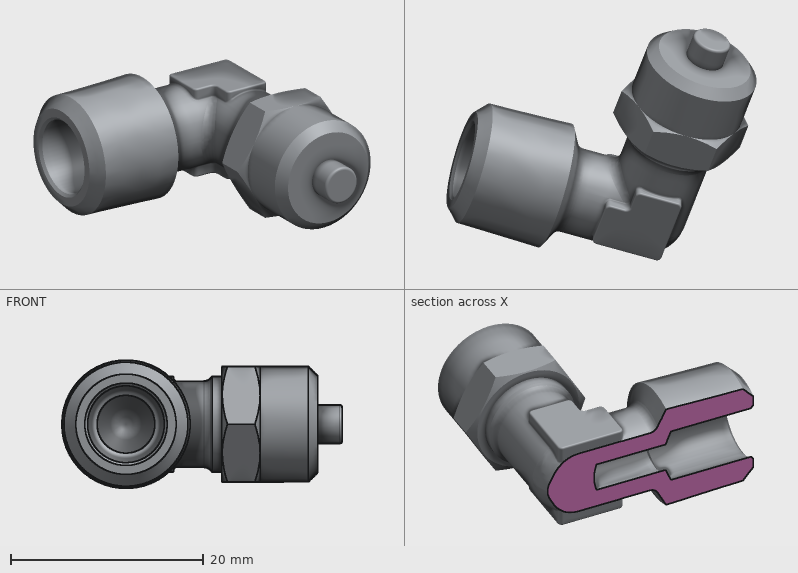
import cadquery as cq
import math

tube_radius = 4.5
outer_bend_fillet = 4.0
inner_bend_fillet = 1.0
tube_length = 8.17
neck_fillet = 1.0

thread_end = 20.0
thread_start = 9.85
thread_big_radius = 6.68
thread_small_radius = 6.45
thread_chamfer_length = 1.23
thread_tip_radius = 5.23
thread_neck_angle = 60

bore_radius = 4.0
bore_step_radius = 3.0
bore_mouth_chamfer = 0.3
drill_half_angle = 59

flange_start = 9.0
flange_radius = 5.0
flange_neck_angle = 45
hex_start = 9.95
hex_end = 13.95
hex_across_flats = 12.03
hex_front_radius = 5.9
hex_chamfer_angle = 60
sleeve_end = 19.97
sleeve_radius = hex_across_flats / 2
sleeve_chamfer = 1.0
tail_end = 22.5
tail_radius = 2.0
tail_rounding = 0.3

pad_half_height = 5.0
pad_half_width = 2.5
pad_leg_reach = 5.0
pad_corner_fillet = 0.5
pad_edge_fillet = 0.2
pad_root_fillet = 0.2

zone_margin = 0.1


def neck_fillet_step(angle):
    """Axial run and radial rise of the neck fillet from the tube to a cone of this slope in degrees."""
    slope = math.radians(angle)
    return neck_fillet * math.sin(slope), neck_fillet * (1 - math.cos(slope))


def start_profile(angle, collar_start, collar_radius):
    """Begin a (radius, axial) profile: tube end, neck fillet, then cone up to the collar."""
    run, rise = neck_fillet_step(angle)
    half_run, half_rise = neck_fillet_step(angle / 2)
    cone_run = (collar_radius - tube_radius - rise) / math.tan(math.radians(angle))
    neck_start = collar_start - cone_run - run
    return (
        cq.Workplane("XY")
        .moveTo(0, neck_start)
        .lineTo(tube_radius, neck_start)
        .threePointArc(
            (tube_radius + half_rise, neck_start + half_run),
            (tube_radius + rise, neck_start + run),
        )
        .lineTo(collar_radius, collar_start)
    )


def revolve_leg(profile):
    """Close a (radius, axial) profile on the +Y axis and revolve it about that axis."""
    return profile.close().revolve(360, (0, 0, 0), (0, 1, 0))


def on_x_leg(solid):
    return solid.rotate((0, 0, 0), (0, 0, 1), -90)


def on_thread_leg(solid):
    return solid.rotate((0, 0, 0), (0, 0, 1), 180)


def make_tubes():
    """Two tubes cut at 45 degrees so that they meet in a mitre through the origin."""
    size = 2 * tube_radius
    mitre = (
        cq.Workplane("XY")
        .polyline([(-size, size), (size, size), (size, -size)])
        .close()
        .extrude(size, both=True)
    )
    blank = (
        cq.Workplane("XZ", origin=(0, size, 0))
        .circle(tube_radius)
        .extrude(tube_length + size)
    )
    leg_y = blank.cut(mitre)
    leg_x = blank.rotate((0, 0, 0), (0, 0, 1), 90).intersect(mitre)
    return leg_y.union(leg_x)


def make_pads():
    """L-shaped plate through the body, its two faces forming the wrench pads."""
    w = pad_half_width
    reach = pad_leg_reach
    outline = [(-w, w), (reach, w), (reach, -w), (w, -w), (w, -reach), (-w, -reach)]
    return (
        cq.Workplane("XY")
        .polyline(outline)
        .close()
        .extrude(pad_half_height, both=True)
        .edges("|Z")
        .fillet(pad_corner_fillet)
        .faces("|Z")
        .edges()
        .fillet(pad_edge_fillet)
    )


def mitre_zone(direction):
    """Selector for the mitre edge left free by the pads: -1 on the outside, 1 on the inside."""
    near = direction * (pad_half_width + zone_margin)
    far = direction * (tube_radius + zone_margin)
    return cq.selectors.BoxSelector((near, -near, -tube_radius), (far, -far, tube_radius))


def pad_root_zone(side):
    """Selector for the edges where a pad meets the tubes, above (1) or below (-1) the axes."""
    long_reach = pad_leg_reach + zone_margin
    short_reach = pad_half_width + zone_margin
    z_inner = side * pad_half_height / 2
    z_outer = side * (tube_radius + zone_margin)
    return cq.selectors.BoxSelector(
        (-short_reach, -long_reach, z_inner),
        (long_reach, short_reach, z_outer),
    )


def make_elbow():
    body = make_tubes().union(make_pads())
    body = body.edges(mitre_zone(-1)).edges("%ELLIPSE").fillet(outer_bend_fillet)
    body = body.edges(mitre_zone(1)).edges("%ELLIPSE").fillet(inner_bend_fillet)
    for side in (1, -1):
        body = body.edges(pad_root_zone(side)).edges("not |Z").fillet(pad_root_fillet)
    return body


def make_thread_leg():
    thread_tip = thread_end - thread_chamfer_length
    profile = (
        start_profile(thread_neck_angle, thread_start, thread_big_radius)
        .lineTo(thread_small_radius, thread_tip)
        .lineTo(thread_tip_radius, thread_end)
        .lineTo(0, thread_end)
    )
    return on_thread_leg(revolve_leg(profile))


def make_bore():
    drill_depth = bore_step_radius / math.tan(math.radians(drill_half_angle))
    ledge_run = (bore_radius - bore_step_radius) / math.tan(math.radians(drill_half_angle))
    profile = (
        cq.Workplane("XY")
        .lineTo(bore_step_radius, drill_depth)
        .lineTo(bore_step_radius, thread_start)
        .lineTo(bore_radius, thread_start + ledge_run)
        .lineTo(bore_radius, thread_end - bore_mouth_chamfer)
        .lineTo(bore_radius + bore_mouth_chamfer, thread_end)
        .lineTo(0, thread_end)
    )
    return on_thread_leg(revolve_leg(profile))


def make_nut_leg():
    """Flange, sleeve and hose tail as one turned piece."""
    profile = (
        start_profile(flange_neck_angle, flange_start, flange_radius)
        .lineTo(flange_radius, hex_start)
        .lineTo(sleeve_radius, hex_end)
        .lineTo(sleeve_radius, sleeve_end - sleeve_chamfer)
        .lineTo(sleeve_radius - sleeve_chamfer, sleeve_end)
        .lineTo(tail_radius, sleeve_end)
        .lineTo(tail_radius, tail_end - tail_rounding)
        .radiusArc((tail_radius - tail_rounding, tail_end), -tail_rounding)
        .lineTo(0, tail_end)
    )
    return on_x_leg(revolve_leg(profile))


def make_hex():
    """Hexagon with its flats facing up and down and its corners turned off at both ends."""
    corner_radius = hex_across_flats / math.sqrt(3)
    slope = math.tan(math.radians(hex_chamfer_angle))
    front_run = (corner_radius - hex_front_radius) / slope
    rear_run = (corner_radius - sleeve_radius) / slope
    prism = (
        cq.Workplane("XZ", origin=(0, hex_end, 0))
        .polygon(6, 2 * corner_radius)
        .extrude(hex_end - hex_start)
    )
    envelope = (
        cq.Workplane("XY")
        .moveTo(0, hex_start)
        .lineTo(hex_front_radius, hex_start)
        .lineTo(corner_radius, hex_start + front_run)
        .lineTo(corner_radius, hex_end - rear_run)
        .lineTo(sleeve_radius, hex_end)
        .lineTo(0, hex_end)
    )
    return on_x_leg(prism.intersect(revolve_leg(envelope)))


result = (
    make_elbow()
    .union(make_thread_leg())
    .union(make_nut_leg())
    .union(make_hex())
    .cut(make_bore())
)